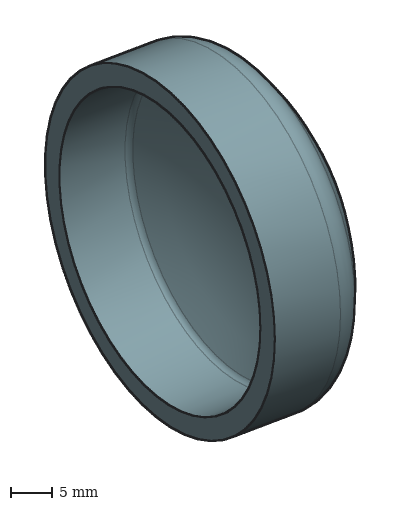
import cadquery as cq
import math

outer_radius = 24.15
height = 21.0
wall = 3.05
skirt_length = 9.75
knuckle_radius = 4.15

dish_depth = height - skirt_length
knuckle_center_x = outer_radius - knuckle_radius
crown_radius = (knuckle_center_x**2 + dish_depth**2 - knuckle_radius**2) / (2 * (dish_depth - knuckle_radius))
crown_center_y = height - crown_radius

tangent_angle = math.atan2(skirt_length - crown_center_y, knuckle_center_x)


def point_on_arc(center_x, center_y, radius, angle):
    return (center_x + radius * math.cos(angle), center_y + radius * math.sin(angle))


def domed_solid(inset):
    """Solid of revolution bounded by the outer surface moved inward by inset."""
    knuckle = knuckle_radius - inset
    crown = crown_radius - inset
    knuckle_middle = point_on_arc(knuckle_center_x, skirt_length, knuckle, tangent_angle / 2)
    knuckle_end = point_on_arc(knuckle_center_x, skirt_length, knuckle, tangent_angle)
    crown_middle = point_on_arc(0, crown_center_y, crown, (tangent_angle + math.pi / 2) / 2)
    return (
        cq.Workplane("XY")
        .lineTo(outer_radius - inset, 0)
        .lineTo(outer_radius - inset, skirt_length)
        .threePointArc(knuckle_middle, knuckle_end)
        .threePointArc(crown_middle, (0, height - inset))
        .close()
        .revolve(360, (0, 0, 0), (0, 1, 0))
    )


result = domed_solid(0).cut(domed_solid(wall))